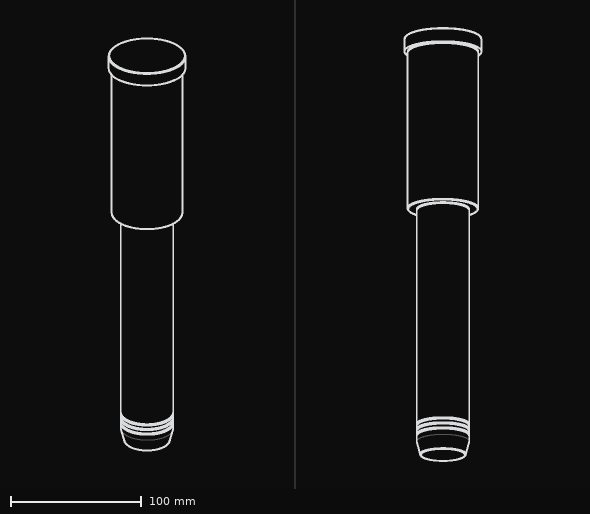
import cadquery as cq

total_length = 331.0
head_radius = 29.5
head_height = 10.5
head_chamfer = 0.5
sleeve_radius = 27.0
sleeve_length = 125.0
sleeve_chamfer = 0.5
shaft_radius = 20.2

taper_height = 11.0
tip_radius = 17.5
tip_chamfer = 0.5

groove_depth = 0.2
relief_width = 1.0
ring_width = 1.3
ring_count = 3
ring_pitch = 4.0
first_ring_bottom = 15.2

head_bottom = total_length - head_height
sleeve_bottom = head_bottom - sleeve_length


def cylinder(radius, bottom, height):
    return cq.Workplane("XY").workplane(offset=bottom).circle(radius).extrude(height)


def groove(outer_radius, bottom, width):
    """Ring-shaped cutter that reaches groove_depth below the given surface."""
    return (
        cq.Workplane("XY")
        .workplane(offset=bottom)
        .circle(outer_radius)
        .circle(outer_radius - groove_depth)
        .extrude(width)
    )


def tapered_tip():
    return (
        cq.Workplane("XZ")
        .polyline([
            (0, 0),
            (tip_radius - tip_chamfer, 0),
            (tip_radius, tip_chamfer),
            (shaft_radius, taper_height),
            (0, taper_height),
        ])
        .close()
        .revolve(360, (0, 0), (0, 1))
    )


head = cylinder(head_radius, head_bottom, head_height).faces(">Z").chamfer(head_chamfer)
sleeve = cylinder(sleeve_radius, sleeve_bottom, sleeve_length).faces("<Z").chamfer(sleeve_chamfer)
shaft = cylinder(shaft_radius, taper_height, sleeve_bottom - taper_height)

result = tapered_tip().union(shaft).union(sleeve).union(head)

result = result.cut(groove(sleeve_radius, head_bottom - relief_width, relief_width))
result = result.cut(groove(shaft_radius, sleeve_bottom - relief_width, relief_width))

for index in range(ring_count):
    ring_bottom = first_ring_bottom + index * ring_pitch
    result = result.cut(groove(shaft_radius, ring_bottom, ring_width))